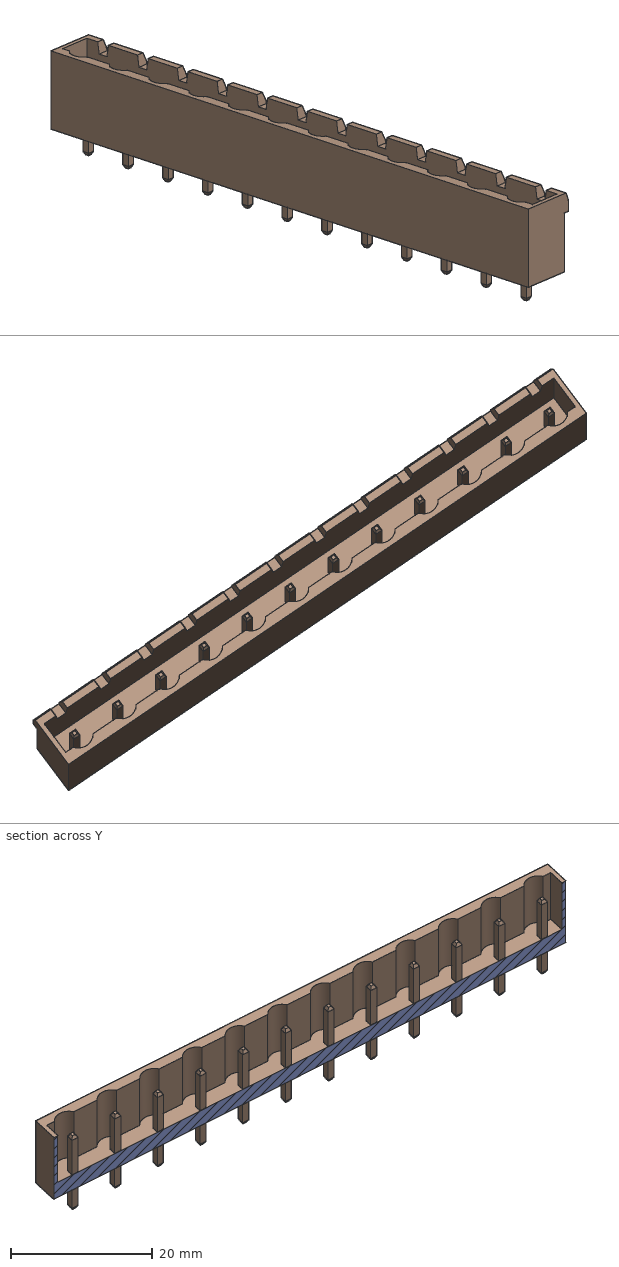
import cadquery as cq
import math

pin_count = 12
length = 90.0
pitch = length / pin_count

body_depth = 7.7
body_height = 12.0
front_wall = 1.7
back_wall = 0.8
end_wall = 0.7
floor_thickness = 3.0

lip_overhang = 0.9
lip_height = 3.0
lip_bevel_depth = 0.5
lip_bevel_height = 1.35

notch_mouth_width = 2.0
notch_floor_width = 1.4
notch_depth = 1.8

scallop_width = 3.4
scallop_depth = 0.9

pin_width = 1.1
pin_front_offset = 3.8
pin_tail = 4.05
pin_tip_gap = 1.8
pin_tip_inset = 0.3
pin_tip_height = 0.5

back_face = body_depth + lip_overhang
cavity_back = body_depth - back_wall
cavity_height = body_height - floor_thickness
pin_positions = [(i - (pin_count - 1) / 2) * pitch for i in range(pin_count)]


def make_shell():
    """Solid bar with the overhanging, bevelled lip on its back."""
    return (
        cq.Workplane("YZ")
        .moveTo(0, 0)
        .lineTo(body_depth, 0)
        .lineTo(body_depth, body_height - lip_height)
        .lineTo(back_face, body_height - lip_height)
        .lineTo(back_face, body_height - lip_bevel_height)
        .lineTo(back_face - lip_bevel_depth, body_height)
        .lineTo(0, body_height)
        .close()
        .extrude(length / 2, both=True)
    )


def make_cavity():
    """Pocket open at the top, its front edge bulging forward at every pin."""
    half_length = length / 2 - end_wall
    outline = cq.Workplane("XY", origin=(0, 0, floor_thickness)).moveTo(-half_length, front_wall)
    for x in pin_positions:
        outline = outline.lineTo(x - scallop_width / 2, front_wall).threePointArc(
            (x, front_wall - scallop_depth), (x + scallop_width / 2, front_wall)
        )
    return (
        outline.lineTo(half_length, front_wall)
        .lineTo(half_length, cavity_back)
        .lineTo(-half_length, cavity_back)
        .close()
        .extrude(cavity_height)
    )


def make_notch(x):
    """Tapered notch running from the cavity out through the lip."""
    return (
        cq.Workplane("XZ", origin=(x, back_face, body_height))
        .moveTo(-notch_mouth_width / 2, 0)
        .lineTo(-notch_floor_width / 2, -notch_depth)
        .lineTo(notch_floor_width / 2, -notch_depth)
        .lineTo(notch_mouth_width / 2, 0)
        .close()
        .extrude(back_face - cavity_back)
    )


def make_pin(x):
    """Square pin through the floor, tapered at both ends."""
    shaft_length = pin_tail + body_height - pin_tip_gap - 2 * pin_tip_height
    tip_taper = math.degrees(math.atan(pin_tip_inset / pin_tip_height))
    return (
        cq.Workplane("XY", origin=(x, pin_front_offset, pin_tip_height - pin_tail))
        .rect(pin_width, pin_width)
        .extrude(shaft_length)
        .faces("<Z")
        .wires()
        .toPending()
        .workplane()
        .extrude(pin_tip_height, taper=tip_taper)
        .faces(">Z")
        .wires()
        .toPending()
        .workplane()
        .extrude(pin_tip_height, taper=tip_taper)
    )


result = make_shell().cut(make_cavity())
for pin_x in pin_positions:
    result = result.cut(make_notch(pin_x)).union(make_pin(pin_x))